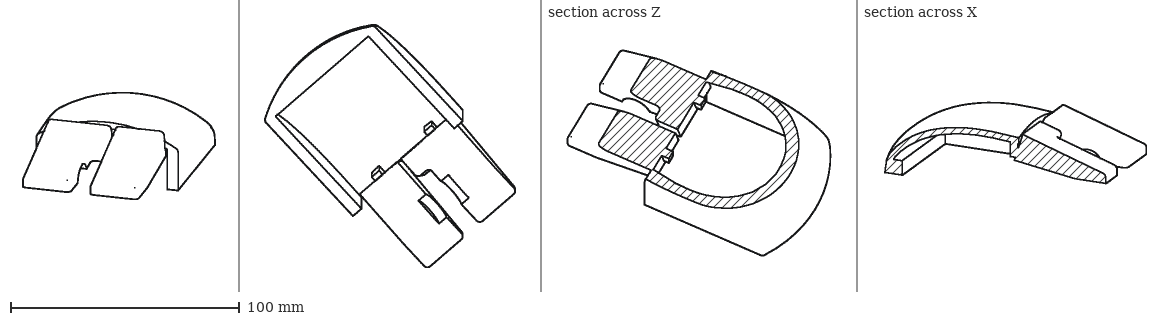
import cadquery as cq
import math

WIDTH = 64.4
SHELL_LENGTH = 67.4
SIDE_WALL = 5.0
SKIN = 2.9
CROWN_RADIUS = 60.0
SHOULDER_FILLET = 2.0
STRIP_DEPTH = 11.5
WALL_INSET = 10.9
LEDGE_FRONT = 56.2
LEDGE_HEIGHT = 6.9

RIDGE_START = (-1.1, 28.5)
RIDGE_MIDDLE = [(20.7, 29.7), (40.8, 26.6), (56.7, 18.6), (64.7, 10.7)]
RIDGE_END = (SHELL_LENGTH, 0.0)
RIDGE_START_TANGENT = (1.0, 0.08)
RIDGE_END_TANGENT = (0.1, -1.0)

LEFT_KEY_X = -26.6
RIGHT_KEY_X = 4.1
KEY_WIDTH = 22.0
KEY_LENGTH = 41.7
KEY_TOP_BACK = (-1.6, 27.7)
KEY_SLOPE = math.radians(17.6)
KEY_TOP_NORMAL = cq.Vector(0, -math.sin(KEY_SLOPE), math.cos(KEY_SLOPE))
KEY_BACK_DEPTH = 13.4
KEY_BOTTOM = 10.7
KEY_HEEL_Y = -26.7
KEY_FILLET = 2.0
TAB_WIDTH = 6.8
TAB_FRONT = -12.2

WHEEL_RADIUS = 7.0
WHEEL_Y = -22.9
WHEEL_Z = 9.7
WHEEL_POCKET_DEPTH = 4.4

HANGER_WIDTH = 4.4
HANGER_BOTTOM = 16.4
HANGER_TOP = 24.9
HANGER_FRONT = 0.5
HANGER_BACK = 4.4

HALF_WIDTH = WIDTH / 2
INNER_HALF = HALF_WIDTH - SIDE_WALL


def block(x0, x1, y0, y1, z0, z1):
    """Box between two opposite corners."""
    return cq.Workplane("XY").box(x1 - x0, y1 - y0, z1 - z0, centered=False).translate((x0, y0, z0))


def crown_drop(x, radius):
    """How far the crown arc has fallen below its middle at a distance x."""
    return radius - math.sqrt(radius**2 - x**2)


def ridge():
    """Ridge curve of the dome."""
    return cq.Workplane("YZ").spline(
        [RIDGE_START, *RIDGE_MIDDLE, RIDGE_END], tangents=[RIDGE_START_TANGENT, RIDGE_END_TANGENT]
    )


def dome():
    """Arched section swept along the ridge, with a strip of side wall under each end of the arch."""
    section_plane = cq.Plane(origin=(0, *RIDGE_START), xDir=(1, 0, 0), normal=(0, *RIDGE_START_TANGENT))
    outer_edge = crown_drop(HALF_WIDTH, CROWN_RADIUS)
    inner_edge = SKIN + crown_drop(INNER_HALF, CROWN_RADIUS - SKIN)
    section = (
        cq.Sketch()
        .arc((-HALF_WIDTH, outer_edge), (0, 0), (HALF_WIDTH, outer_edge))
        .segment((HALF_WIDTH, STRIP_DEPTH))
        .segment((INNER_HALF, STRIP_DEPTH))
        .segment((INNER_HALF, inner_edge))
        .arc((0, SKIN), (-INNER_HALF, inner_edge))
        .segment((-INNER_HALF, STRIP_DEPTH))
        .segment((-HALF_WIDTH, STRIP_DEPTH))
        .close()
        .assemble()
        .vertices("<X or >X")
        .vertices("<Y")
        .fillet(SHOULDER_FILLET)
    )
    return cq.Workplane(section_plane).placeSketch(section).sweep(ridge())


def side_walls():
    """Flat walls that carry the strips of the dome down to the ground."""
    margin = 2 * WALL_INSET
    wall = (
        ridge()
        .lineTo(SHELL_LENGTH, -margin)
        .lineTo(-margin, -margin)
        .lineTo(-margin, RIDGE_START[1])
        .close()
        .offset2D(-WALL_INSET)
        .extrude(SIDE_WALL)
    )
    return wall.translate((-HALF_WIDTH, 0, 0)).union(wall.translate((INNER_HALF, 0, 0)))


def tail_ledge():
    """Low ledge across the inside of the tail, its rear bent to stay within the skin."""
    rear_middle = SHELL_LENGTH - SKIN
    rear_side = rear_middle - crown_drop(INNER_HALF, CROWN_RADIUS - SKIN)
    return (
        cq.Workplane("XY")
        .moveTo(-INNER_HALF, LEDGE_FRONT)
        .lineTo(INNER_HALF, LEDGE_FRONT)
        .lineTo(INNER_HALF, rear_side)
        .threePointArc((0, rear_middle), (-INNER_HALF, rear_side))
        .close()
        .extrude(LEDGE_HEIGHT)
    )


def shell():
    """Dome and side walls cut square at the opening and at the ground."""
    envelope = block(-HALF_WIDTH, HALF_WIDTH, 0, SHELL_LENGTH, 0, SHELL_LENGTH)
    return dome().union(side_walls()).intersect(envelope).union(tail_ledge())


def key_top_z(y):
    """Height of the sloping key top."""
    back_y, back_z = KEY_TOP_BACK
    return back_z - (back_y - y) * math.tan(KEY_SLOPE)


def square_to_top(y, depth):
    """Point at a depth below the key top, straight under the top at y and square to it."""
    return (y + depth * math.sin(KEY_SLOPE), key_top_z(y) - depth * math.cos(KEY_SLOPE))


def key_prism(points, x_left, width):
    """Side outline of a key or of a cut in it, drawn out along X."""
    return cq.Workplane("YZ").polyline(points).close().extrude(width).translate((x_left, 0, 0))


def key(x_left, tab_width):
    """Sloping key with rounded top and front edges; a tab can widen its rear part to the right."""
    outline = [
        KEY_TOP_BACK,
        square_to_top(KEY_TOP_BACK[0], KEY_BACK_DEPTH),
        (KEY_HEEL_Y, KEY_BOTTOM),
        (-KEY_LENGTH, KEY_BOTTOM),
        (-KEY_LENGTH, key_top_z(-KEY_LENGTH)),
    ]
    body = key_prism(outline, x_left, KEY_WIDTH + tab_width)
    if tab_width:
        notch = [
            (TAB_FRONT, key_top_z(TAB_FRONT)),
            square_to_top(TAB_FRONT, KEY_BACK_DEPTH),
            (-KEY_LENGTH, 0),
            (-KEY_LENGTH, key_top_z(-KEY_LENGTH)),
        ]
        body = body.cut(key_prism(notch, x_left + KEY_WIDTH, tab_width))
    corners = body.edges("|Z").vals()
    if tab_width:
        leaning = cq.selectors.ParallelDirSelector(KEY_TOP_NORMAL)
        corners += body.edges(leaning).edges("not >Y").vals()
    body = body.newObject(corners).fillet(KEY_FILLET)
    top = body.faces(cq.selectors.DirectionMinMaxSelector(KEY_TOP_NORMAL, True))
    return top.edges("not >Y").fillet(KEY_FILLET)


def wheel_pocket():
    """Round pocket across the inner sides of both keys."""
    x0 = LEFT_KEY_X + KEY_WIDTH - WHEEL_POCKET_DEPTH
    x1 = RIGHT_KEY_X + WHEEL_POCKET_DEPTH
    return cq.Workplane("YZ").center(WHEEL_Y, WHEEL_Z).circle(WHEEL_RADIUS).extrude(x1 - x0).translate((x0, 0, 0))


def hanger(x_middle):
    """Block that ties the back of a key to the ceiling of the shell."""
    half = HANGER_WIDTH / 2
    return block(x_middle - half, x_middle + half, HANGER_FRONT, HANGER_BACK, HANGER_BOTTOM, HANGER_TOP)


keys = key(LEFT_KEY_X, TAB_WIDTH).union(key(RIGHT_KEY_X, 0)).cut(wheel_pocket())
result = shell().union(keys)
for key_x in (LEFT_KEY_X, RIGHT_KEY_X):
    result = result.union(hanger(key_x + KEY_WIDTH / 2))